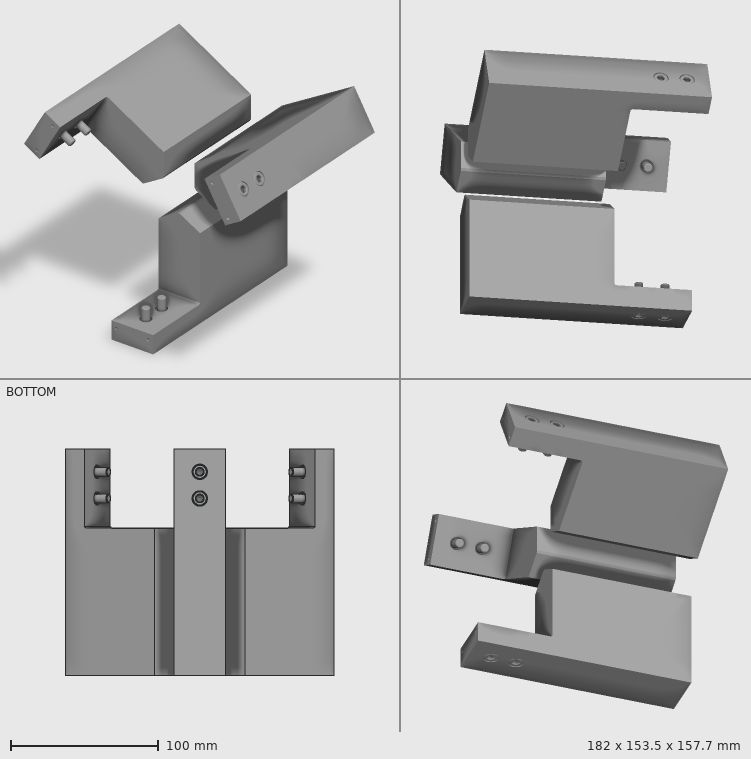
import cadquery as cq
import math

JAW_COUNT = 3
SCREW_COUNT = 2

JAW_WIDTH = 35.0
JAW_HEIGHT = 79.4
BASE_RADIUS = 95.0
TOTAL_LENGTH = 153.5
FOOT_LENGTH = 53.5
FOOT_THICKNESS = 15.0
TIP_FLAT_WIDTH = 2.0
TIP_SLOPE = 30
CORNER_CHAMFER = 1.1

END_HOLE_DIAMETER = 2.5
END_HOLE_SPACING = 26.5
END_HOLE_HEIGHT = 10.0
END_HOLE_DEPTH = 10.0
CONE_ANGLE = 120

SCREW_END_OFFSET = 15.5
SCREW_SPACING = 18.0
CLEARANCE_DIAMETER = 6.4
HEAD_RECESS_DIAMETER = 10.4
HEAD_RECESS_DEPTH = 6.5
INNER_RECESS_DIAMETER = 9.0
INNER_RECESS_DEPTH = 1.8

SHANK_DIAMETER = 6.0
SHANK_PROJECTION = 9.1
SHANK_CHAMFER = 0.5
HEAD_DIAMETER = 10.0
HEAD_HEIGHT = 6.4
HEAD_CHAMFER = 0.5
SOCKET_FLATS = 5.0
SOCKET_DEPTH = 3.0
SOCKET_TURN = 30
SOCKET_MOUTH_DIAMETER = 5.8

FRONT_Y = -TOTAL_LENGTH / 2
BASE_Z = -BASE_RADIUS
FOOT_TOP_Z = BASE_Z + FOOT_THICKNESS
HEAD_SEAT_Z = BASE_Z + HEAD_RECESS_DEPTH
SCREW_YS = [FRONT_Y + SCREW_END_OFFSET + i * SCREW_SPACING for i in range(SCREW_COUNT)]


def cylinder(diameter, y, z_bottom, height):
    """Upright cylinder in the middle plane of the jaw."""
    return cq.Workplane("XY", origin=(0, y, z_bottom)).circle(diameter / 2).extrude(height)


def jaw_blank():
    """Pointed bar along Y with the space above the foot removed."""
    half_width = JAW_WIDTH / 2
    half_flat = TIP_FLAT_WIDTH / 2
    tip_z = BASE_Z + JAW_HEIGHT
    shoulder_z = tip_z - (half_width - half_flat) * math.tan(math.radians(TIP_SLOPE))
    bar = (
        cq.Workplane("XZ", origin=(0, -FRONT_Y, 0))
        .moveTo(-half_width, BASE_Z)
        .lineTo(half_width, BASE_Z)
        .lineTo(half_width, shoulder_z)
        .lineTo(half_flat, tip_z)
        .lineTo(-half_flat, tip_z)
        .lineTo(-half_width, shoulder_z)
        .close()
        .extrude(TOTAL_LENGTH)
    )
    step_y = FRONT_Y + FOOT_LENGTH
    space_above_foot = (
        cq.Workplane("YZ")
        .moveTo(FRONT_Y, FOOT_TOP_Z)
        .lineTo(step_y - CORNER_CHAMFER, FOOT_TOP_Z)
        .lineTo(step_y, FOOT_TOP_Z + CORNER_CHAMFER)
        .lineTo(step_y, tip_z)
        .lineTo(FRONT_Y, tip_z)
        .close()
        .extrude(half_width, both=True)
    )
    return bar.cut(space_above_foot)


def cone_recess(diameter, base, direction):
    """Cone cut into a hole bottom or a hole mouth, narrowing along direction."""
    height = diameter / 2 / math.tan(math.radians(CONE_ANGLE / 2))
    return cq.Workplane(cq.Solid.makeCone(diameter / 2, 0, height, pnt=base, dir=direction))


def end_hole(x):
    """Blind drilled hole running along Y from the end face."""
    z = BASE_Z + END_HOLE_HEIGHT
    bore = (
        cq.Workplane("XZ", origin=(x, FRONT_Y, z))
        .circle(END_HOLE_DIAMETER / 2)
        .extrude(-END_HOLE_DEPTH)
    )
    bore_end = cq.Vector(x, FRONT_Y + END_HOLE_DEPTH, z)
    return bore.union(cone_recess(END_HOLE_DIAMETER, bore_end, cq.Vector(0, 1, 0)))


def screw_hole(y):
    """Clearance hole with a head recess outside and a wider recess inside."""
    clearance = cylinder(CLEARANCE_DIAMETER, y, BASE_Z, FOOT_THICKNESS)
    head_recess = cylinder(HEAD_RECESS_DIAMETER, y, BASE_Z, HEAD_RECESS_DEPTH)
    inner_recess = cylinder(
        INNER_RECESS_DIAMETER, y, FOOT_TOP_Z - INNER_RECESS_DEPTH, INNER_RECESS_DEPTH
    )
    return clearance.union(head_recess).union(inner_recess)


def make_jaw():
    jaw = jaw_blank()
    for x in (-END_HOLE_SPACING / 2, END_HOLE_SPACING / 2):
        jaw = jaw.cut(end_hole(x))
    for y in SCREW_YS:
        jaw = jaw.cut(screw_hole(y))
    return jaw


def hex_socket(y, head_z):
    """Hexagonal pocket with a conical lead-in and bottom, opening towards -Z."""
    across_corners = 2 * SOCKET_FLATS / math.sqrt(3)
    inward = cq.Vector(0, 0, 1)
    hexagon = (
        cq.Workplane("XY", origin=(0, y, head_z))
        .polygon(6, across_corners)
        .extrude(SOCKET_DEPTH)
        .rotate((0, y, 0), (0, y, 1), SOCKET_TURN)
    )
    lead_in = cone_recess(SOCKET_MOUTH_DIAMETER, cq.Vector(0, y, head_z), inward)
    bottom = cone_recess(SOCKET_FLATS, cq.Vector(0, y, head_z + SOCKET_DEPTH), inward)
    return hexagon.union(lead_in).union(bottom)


def make_screw(y):
    """Socket-head screw with its head seated in the recess of the foot."""
    head_z = HEAD_SEAT_Z - HEAD_HEIGHT
    shank_length = FOOT_TOP_Z + SHANK_PROJECTION - HEAD_SEAT_Z
    head = cylinder(HEAD_DIAMETER, y, head_z, HEAD_HEIGHT)
    head = head.faces("<Z").chamfer(HEAD_CHAMFER)
    shank = cylinder(SHANK_DIAMETER, y, HEAD_SEAT_Z, shank_length)
    shank = shank.faces(">Z").chamfer(SHANK_CHAMFER)
    return head.union(shank).cut(hex_socket(y, head_z))


bodies = []
for i in range(JAW_COUNT):
    angle = i * 360 / JAW_COUNT
    jaw = make_jaw().rotate((0, 0, 0), (0, 1, 0), angle)
    bodies.append(jaw.val())
    for screw_y in SCREW_YS:
        screw = make_screw(screw_y).rotate((0, 0, 0), (0, 1, 0), angle)
        bodies.append(screw.val())

result = cq.Compound.makeCompound(bodies)